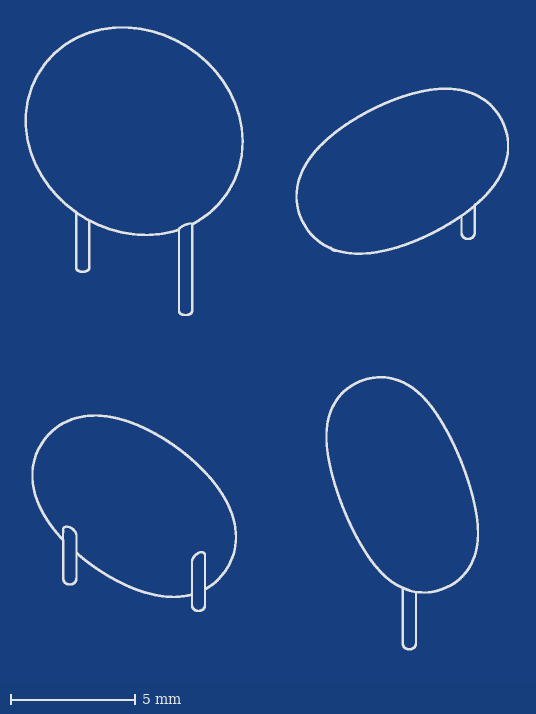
import cadquery as cq

disc_diameter = 9.0
disc_thickness = 3.8
rim_band_width = 0.1
rim_radius = (disc_thickness - rim_band_width) / 2
disc_radius = disc_diameter / 2
disc_bottom_z = 0.0
disc_center_z = disc_bottom_z + disc_radius

lead_diameter = 0.54
lead_pitch_x = 5.0
lead_pitch_y = 1.8
lead_length_below_disc = 3.03
lead_tip_fillet = 0.1
lead_bottom_z = disc_bottom_z - lead_length_below_disc
lead_top_z = disc_center_z - disc_radius / 2


def make_disc():
    """Disc with fully rounded rim and flat circular faces."""
    return (
        cq.Workplane("XZ", origin=(0, 0, disc_center_z))
        .circle(disc_radius)
        .extrude(disc_thickness / 2, both=True)
        .edges()
        .fillet(rim_radius)
    )


def make_lead(x, y):
    """Vertical round wire with a rounded lower tip."""
    return (
        cq.Workplane("XY", origin=(x, y, lead_bottom_z))
        .circle(lead_diameter / 2)
        .extrude(lead_top_z - lead_bottom_z)
        .faces("<Z")
        .edges()
        .fillet(lead_tip_fillet)
    )


result = make_disc()
for side in (-1, 1):
    result = result.union(make_lead(side * lead_pitch_x / 2, -side * lead_pitch_y / 2))